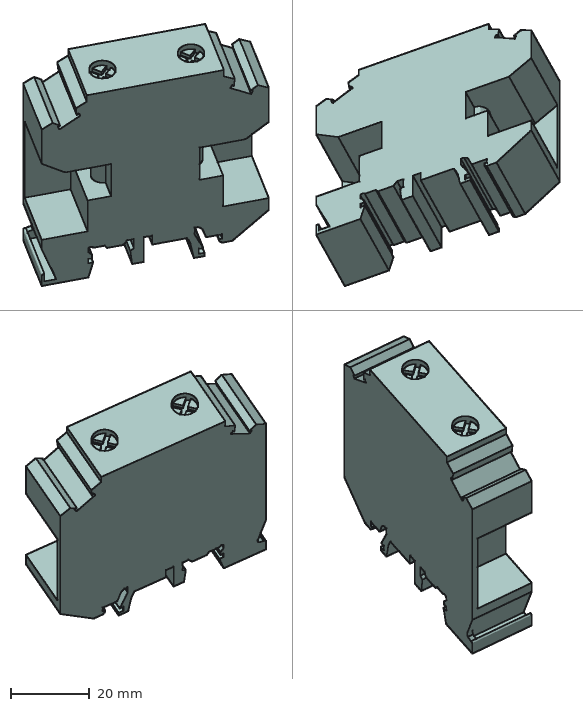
import cadquery as cq

width = 18.05
length = 60.0
height = 63.1
half_length = length / 2
side_wall = 1.6

top_half = 18.1
shoulder_z = 60.9
lip_half = 21.0
lip_z = 59.3
lip_tip = (20.75, 56.85)
lip_undercut = (20.3, 57.3)
label_seat_inner = (19.8, 56.45)
label_seat_outer = (25.3, 53.05)
hook_undercut = (25.75, 54.0)
hook_tip = (25.15, 54.3)
hook_crest = (27.1, 55.7)
end_top_z = 54.1

ceiling_z = 10.4
belly_z = 7.3
catch_ledge_z = 4.94
rail_wall_y = 17.65
rail_top_z = 6.4

foot_slope_top_z = 12.7
foot_lip_z = 3.52
foot_lip_round = (0.15, 3.87)
foot_lip_depth = 0.7
foot_lip_crest_z = 4.05
root_top_depth = 2.4
root_top_z = 5.65
root_middle = (2.41, 5.0)
root_bottom_depth = 2.1
root_bottom_z = 4.43
slot_floor_z = 1.5
slope_run = root_top_depth / (foot_slope_top_z - root_top_z)
slot_floor_depth = slope_run * (foot_slope_top_z - slot_floor_z)

pocket_floor_z = 16.0
pocket_step_depth = 12.1
pocket_step_z = 26.7
pocket_inner_top_z = 37.8
pocket_outer_top_z = 42.3
pocket_bevel_depth = 6.2

screw_x = 9.72
screw_y = 11.7
shank_radius = 3.0
head_radius = 3.4
head_recess = 1.7
drive_width = 1.3
drive_depth = 1.1
pocket_depth = half_length - screw_y


def shoulder(side):
    """Shoulder points from the flat top down to the end face; side is +1 or -1."""
    points = [
        (top_half, height),
        (top_half, shoulder_z),
        (lip_half, lip_z),
        lip_tip,
        lip_undercut,
        label_seat_inner,
        label_seat_outer,
        hook_undercut,
        hook_tip,
        hook_crest,
        (half_length, end_top_z),
    ]
    return [(side * y, z) for y, z in points]


def add_lines(sketch, points):
    for y, z in points:
        sketch = sketch.lineTo(y, z)
    return sketch


def from_end(depth, z):
    """Profile point at a given depth from the -Y end face."""
    return (-half_length + depth, z)


def make_body():
    fixed_hook = [
        (half_length, 11.9),
        (20.3, 3.5),
        (17.6, 3.5),
        (16.9, 4.2),
        (16.9, catch_ledge_z),
        (rail_wall_y, catch_ledge_z),
        (rail_wall_y, rail_top_z),
        (13.4, rail_top_z),
        (12.5, 9.1),
    ]
    spring_leg = [
        (10.35, ceiling_z),
        (10.35, 8.2),
        (12.7, 2.85),
        (11.5, 2.85),
        (11.5, 1.2),
        (13.0, 1.2),
        (13.0, 0),
        (10.2, 0),
        (9.3, 5.1),
        (8.4, belly_z),
        (-0.8, belly_z),
        (-0.8, ceiling_z),
    ]
    middle_leg = [
        (-3.0, ceiling_z),
        (-3.0, 1.85),
        (-6.1, 1.85),
        (-6.6, 6.6),
        (-5.65, 7.25),
        (-5.65, ceiling_z),
    ]
    rail_seat = [
        (-7.4, ceiling_z),
        (-8.4, 9.0),
        (-12.75, 9.0),
        (-13.35, 9.95),
        (-16.4, 9.95),
    ]
    foot = [
        (-rail_wall_y, 8.8),
        (-16.7, 7.6),
        (-16.7, rail_top_z),
        (-rail_wall_y, rail_top_z),
        (-rail_wall_y, catch_ledge_z),
        (-16.4, catch_ledge_z),
        (-rail_wall_y, 0),
        (-half_length, 0),
        (-half_length, foot_lip_z),
    ]
    left_shoulder = shoulder(1)
    right_shoulder = shoulder(-1)[::-1]

    profile = cq.Workplane("YZ").moveTo(*left_shoulder[0])
    profile = add_lines(profile, left_shoulder[1:] + fixed_hook)
    profile = profile.threePointArc((12.0, 9.9), (11.25, ceiling_z))
    profile = add_lines(profile, spring_leg + middle_leg + rail_seat)
    profile = profile.threePointArc((-17.05, ceiling_z), (-rail_wall_y, 9.95))
    profile = add_lines(profile, foot)
    profile = profile.threePointArc(
        from_end(*foot_lip_round),
        from_end(foot_lip_depth, foot_lip_crest_z),
    )
    profile = profile.lineTo(*from_end(root_bottom_depth, root_bottom_z))
    profile = profile.threePointArc(
        from_end(*root_middle),
        from_end(root_top_depth, root_top_z),
    )
    profile = add_lines(profile, [from_end(0, foot_slope_top_z)] + right_shoulder)
    return profile.close().extrude(width)


def make_pocket(side):
    """Stepped pocket with a ceiling that slopes up at the mouth, open to the end face and to +X."""
    points = [
        (half_length, pocket_floor_z),
        (half_length - pocket_step_depth, pocket_floor_z),
        (half_length - pocket_step_depth, pocket_step_z),
        (half_length - pocket_depth, pocket_step_z),
        (half_length - pocket_depth, pocket_inner_top_z),
        (half_length - pocket_bevel_depth, pocket_inner_top_z),
        (half_length, pocket_outer_top_z),
    ]
    outline = [(side * y, z) for y, z in points]
    plane = cq.Workplane("YZ").workplane(offset=side_wall)
    return plane.polyline(outline).close().extrude(width - side_wall)


def make_foot_slot():
    """Screwdriver slot behind the foot lip, stopping at the side wall."""
    outline = [
        from_end(foot_lip_depth, foot_slope_top_z - foot_lip_depth / slope_run),
        from_end(slot_floor_depth, slot_floor_z),
        from_end(foot_lip_depth, slot_floor_z),
    ]
    plane = cq.Workplane("YZ").workplane(offset=side_wall)
    return plane.polyline(outline).close().extrude(width - side_wall)


def make_shank(side):
    """Screw shank standing between the pocket step and the pocket ceiling."""
    plane = cq.Workplane("XY").workplane(offset=pocket_step_z)
    shank_height = pocket_inner_top_z - pocket_step_z
    return plane.center(screw_x, side * screw_y).circle(shank_radius).extrude(shank_height)


def make_head_recess(side):
    """Round access hole with the cross slot of the screw head in its floor."""
    head_z = height - head_recess
    hole = cq.Workplane("XY").workplane(offset=head_z).circle(head_radius).extrude(head_recess)
    drive_disc = cq.Workplane("XY").workplane(offset=head_z).circle(head_radius).extrude(-drive_depth)
    arm = cq.Workplane("XY").workplane(offset=head_z).rect(2 * head_radius, drive_width)
    arm = arm.extrude(-drive_depth)
    for angle in (45, -45):
        turned_arm = arm.rotate((0, 0, 0), (0, 0, 1), angle)
        hole = hole.union(turned_arm.intersect(drive_disc))
    return hole.translate((screw_x, side * screw_y, 0))


result = make_body().cut(make_foot_slot())
for end in (-1, 1):
    result = result.cut(make_pocket(end))
    result = result.union(make_shank(end))
    result = result.cut(make_head_recess(end))